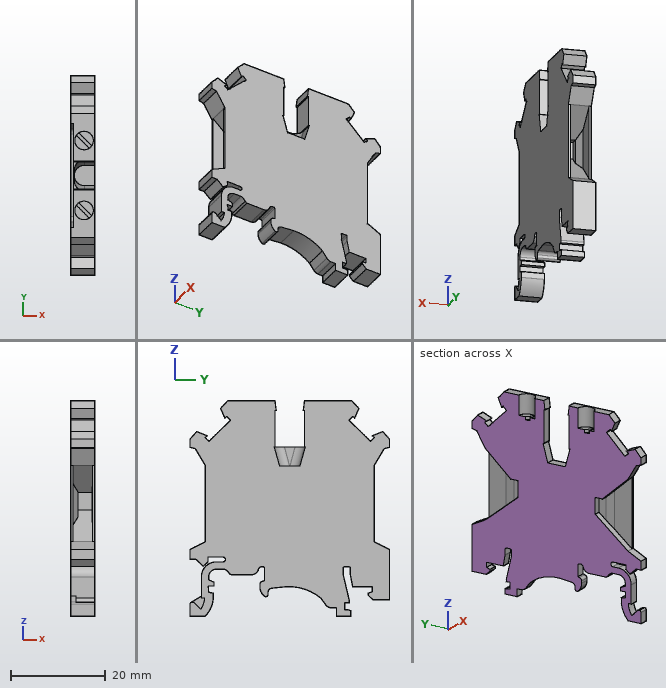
import cadquery as cq
import math

THICKNESS = 5.15
HEIGHT = 45.9
HALF_WIDTH = 21.25
BODY_HALF_WIDTH = 18.0

BODY_BOTTOM_Z = 15.9
BODY_TOP_Z = 32.15
SHOULDER_Z = 14.25

GAP_HALF_WIDTH = 3.1
GAP_FLOOR_Z = 36.1
LIP_HALF_GAP = 2.85
LIP_BOTTOM_Z = 43.75

HOOK_BEND_Y = -15.6
HOOK_BEND_Z = 8.4
HOOK_OUTER_RADIUS = 3.2
HOOK_INNER_RADIUS = 1.6
HOOK_LEG_Y = HOOK_BEND_Y - HOOK_OUTER_RADIUS
HOOK_INNER_Y = HOOK_BEND_Y - HOOK_INNER_RADIUS

HOOK_SLIT_END_Y = -14.2
HOOK_SLIT_BOTTOM_Z = HOOK_BEND_Z + HOOK_OUTER_RADIUS
HOOK_SLIT_TOP_Z = 12.58
GRIP_SLIT_TOP_Z = 10.5
GRIP_VALLEY_Z = 8.8
SLIT_CORNER_RADIUS = 0.25
SLIT_CORNER_SETBACK = SLIT_CORNER_RADIUS * (1 - math.sqrt(0.5))
FIXED_SLIT_OUTER_Y = 12.85
FIXED_SLIT_INNER_Y = 11.4
HOOKED_SLIT_Y = -5.4
HOOKED_GRIP_Y = -6.4

FIXED_FOOT_Z = 3.55
FIXED_CATCH_Y = 16.65
FIXED_RAIL_SEAT_Y = 17.55
FIXED_RAIL_SEAT_Z = 6.3
NOTCHED_GRIP_TIP_Y = 13.0
NOTCHED_GRIP_HEEL_Y = 9.9
NOTCHED_GRIP_HEEL_Z = 1.8
HOOK_CATCH_Y = -16.05
HOOK_CATCH_Z = 6.43
SHOULDER_STOP_Y = -17.35
SHOULDER_STOP_Z = 12.1

RECESS_DEPTH = 0.55
RECESS_HALF_WIDTH = 11.1
RECESS_TAPER_Z = 34.0
RECESS_FLOOR_HALF_WIDTH = 9.65
RECESS_FLOOR_Z = 28.83
RECESS_CORNER_RADIUS = 1.15

SCREW_HOLE_DIAMETER = 3.95
SCREW_HOLE_DEPTH = 4.6
SCREW_HOLE_X = 2.85
SCREW_HOLE_Y = 7.45
DRIVER_SLOT_WIDTH = 0.75
DRIVER_SLOT_DEPTH = 0.7
DRIVER_SLOT_ANGLE = -45.0

WELL_RADIUS = 2.15
WELL_CENTER_X = 2.95
WELL_DEPTH = 4.15
WELL_END_SHIFT = 1.15
WELL_MIN_FLAT = 0.025

FUNNEL_X_MIN = 0.5
FUNNEL_X_MAX = 4.65
FUNNEL_THROAT_X_MIN = 1.6
FUNNEL_THROAT_X_MAX = 4.5
FUNNEL_TAPER_START = 4.35
FUNNEL_TAPER_END = 6.45
FUNNEL_DEPTH = 8.2
FUNNEL_BACK_BOTTOM_Z = 22.65
FUNNEL_BACK_TOP_Z = 26.35

GROOVE_RIB_WIDTH = 1.15
GROOVE_TOP_Z = 3.95
GROOVE_BACK_Y = -18.1
GROOVE_BACK_MID = (-18.25, 2.95)
GROOVE_BACK_END = (-18.9, 1.5)
GROOVE_LIP = (-20.4, 2.95)
TOE_SLOPE_TOP_Z = 4.3
TOE_SLOPE_END = (-20.95, 3.05)
TOE_ROUND_MID = (-21.15, 2.85)
TOE_FACE_Z = 2.6

UPPER_SIDE = [
    (GAP_HALF_WIDTH, GAP_FLOOR_Z),
    (GAP_HALF_WIDTH, LIP_BOTTOM_Z),
    (LIP_HALF_GAP, LIP_BOTTOM_Z),
    (GAP_HALF_WIDTH, HEIGHT),
    (13.17, HEIGHT),
    (14.75, 44.25),
    (13.8, 42.15),
    (13.45, 42.5),
    (12.6, 41.72),
    (17.15, 37.25),
    (18.0, 38.0),
    (17.5, 38.4),
    (19.8, 39.35),
    (HALF_WIDTH, 37.7),
    (HALF_WIDTH, 35.95),
    (20.1, 35.65),
    (BODY_HALF_WIDTH, BODY_TOP_Z),
    (BODY_HALF_WIDTH, BODY_BOTTOM_Z),
    (HALF_WIDTH, SHOULDER_Z),
]


def lines(wire, points):
    """Extend a wire through a run of straight segments."""
    for point in points:
        wire = wire.lineTo(*point)
    return wire


def bend_point(radius):
    """Point half way round a hook bend."""
    offset = radius * math.sqrt(0.5)
    return (HOOK_BEND_Y - offset, HOOK_BEND_Z + offset)


def round_slit_corner(wire, wall_y):
    """Rise up the +Y wall of a grip slit and round into its roof."""
    radius = SLIT_CORNER_RADIUS
    wire = wire.lineTo(wall_y, GRIP_SLIT_TOP_Z - radius)
    middle = (wall_y - SLIT_CORNER_SETBACK, GRIP_SLIT_TOP_Z - SLIT_CORNER_SETBACK)
    return wire.threePointArc(middle, (wall_y - radius, GRIP_SLIT_TOP_Z))


def add_fixed_foot(wire):
    """+Y foot with its rail catch, up to the slit beside the first grip."""
    wire = lines(wire, [(HALF_WIDTH, FIXED_FOOT_Z), (17.65, FIXED_FOOT_Z)])
    wire = lines(wire, [(FIXED_CATCH_Y, 4.5), (FIXED_CATCH_Y, 4.95), (FIXED_RAIL_SEAT_Y, 5.25)])
    wire = lines(wire, [(FIXED_RAIL_SEAT_Y, FIXED_RAIL_SEAT_Z), (13.35, FIXED_RAIL_SEAT_Z)])
    wire = wire.lineTo(FIXED_SLIT_OUTER_Y, 8.95)
    wire = round_slit_corner(wire, FIXED_SLIT_OUTER_Y)
    wire = wire.lineTo(FIXED_SLIT_INNER_Y + SLIT_CORNER_RADIUS, GRIP_SLIT_TOP_Z)
    return wire.threePointArc(
        (FIXED_SLIT_INNER_Y + SLIT_CORNER_SETBACK, GRIP_SLIT_TOP_Z - SLIT_CORNER_SETBACK),
        (FIXED_SLIT_INNER_Y, GRIP_SLIT_TOP_Z - SLIT_CORNER_RADIUS),
    )


def add_notched_grip(wire):
    """Springy grip beside the fixed foot, with a notch above its tip."""
    wire = lines(wire, [(FIXED_SLIT_INNER_Y, 8.95), (12.65, 3.45), (12.65, 2.9), (11.7, 2.9)])
    wire = lines(wire, [(11.7, 1.4), (12.45, 1.4), (NOTCHED_GRIP_TIP_Y, 1.25), (NOTCHED_GRIP_TIP_Y, 0.0)])
    wire = lines(wire, [(NOTCHED_GRIP_HEEL_Y, 0.0), (NOTCHED_GRIP_HEEL_Y, NOTCHED_GRIP_HEEL_Z)])
    wire = wire.lineTo(8.7, NOTCHED_GRIP_HEEL_Z)
    return wire.threePointArc((8.15, 1.97), (7.7, 2.35))


def add_arch_and_hooked_grip(wire):
    """Arched underside, the hooked grip at its end and the slit and valley after it."""
    wire = wire.lineTo(6.6, 3.85)
    wire = wire.threePointArc((3.2, 5.75), (-0.65, 6.3))
    wire = wire.lineTo(-3.8, 5.95)
    wire = wire.threePointArc((-4.35, 5.7), (-4.6, 5.25))
    wire = wire.lineTo(-4.6, 4.6)
    wire = wire.threePointArc((-4.85, 4.2), (-5.32, 4.2))
    wire = wire.threePointArc((-6.1, 5.15), (HOOKED_GRIP_Y, 6.35))
    wire = wire.lineTo(HOOKED_GRIP_Y, 6.9)
    wire = wire.threePointArc((-6.2, 7.25), (-5.8, 7.5))
    wire = wire.lineTo(HOOKED_SLIT_Y, 7.6)
    wire = round_slit_corner(wire, HOOKED_SLIT_Y)
    wire = wire.lineTo(-6.15, GRIP_SLIT_TOP_Z)
    wire = wire.threePointArc((-6.5, 10.3), (-6.65, 9.85))
    return wire.threePointArc((-7.25, 9.15), (-8.12, GRIP_VALLEY_Z))


def add_hook(wire):
    """Flexible hook: inner bend, catches, toe, then back up the outer bend."""
    wire = lines(wire, [(-12.45, GRIP_VALLEY_Z), (-12.9, 9.1)])
    wire = wire.threePointArc((-13.3, 9.7), (-13.95, HOOK_BEND_Z + HOOK_INNER_RADIUS))
    wire = wire.lineTo(HOOK_BEND_Y, HOOK_BEND_Z + HOOK_INNER_RADIUS)
    wire = wire.threePointArc(bend_point(HOOK_INNER_RADIUS), (HOOK_INNER_Y, HOOK_BEND_Z))
    wire = lines(wire, [(HOOK_INNER_Y, 7.8), (HOOK_CATCH_Y, 7.25), (HOOK_CATCH_Y, HOOK_CATCH_Z)])
    wire = lines(wire, [(-17.3, HOOK_CATCH_Z), (HOOK_INNER_Y, 5.15), (-16.25, 4.95), (-16.25, 3.63)])
    wire = wire.threePointArc((-16.8, 1.7), (-18.0, 0.0))
    wire = lines(wire, [(-HALF_WIDTH, 0.0), (-HALF_WIDTH, TOE_FACE_Z)])
    wire = wire.threePointArc(TOE_ROUND_MID, TOE_SLOPE_END)
    wire = lines(wire, [(HOOK_LEG_Y, TOE_SLOPE_TOP_Z), (HOOK_LEG_Y, HOOK_BEND_Z)])
    return wire.threePointArc(bend_point(HOOK_OUTER_RADIUS), (HOOK_BEND_Y, HOOK_SLIT_BOTTOM_Z))


def add_hook_slit(wire):
    """Slit above the hook with a round end, and the stop under the -Y shoulder."""
    slit_radius = (HOOK_SLIT_TOP_Z - HOOK_SLIT_BOTTOM_Z) / 2
    slit_end = (HOOK_SLIT_END_Y + slit_radius, HOOK_SLIT_TOP_Z - slit_radius)
    wire = wire.lineTo(HOOK_SLIT_END_Y, HOOK_SLIT_BOTTOM_Z)
    wire = wire.threePointArc(slit_end, (HOOK_SLIT_END_Y, HOOK_SLIT_TOP_Z))
    wire = lines(wire, [(SHOULDER_STOP_Y, HOOK_SLIT_TOP_Z), (SHOULDER_STOP_Y, 11.6), (-18.4, 10.65)])
    return lines(wire, [(-19.95, SHOULDER_STOP_Z), (-HALF_WIDTH, SHOULDER_STOP_Z)])


def make_plate():
    """Full outline of the block, extruded through its thickness."""
    wire = cq.Workplane("YZ").moveTo(*UPPER_SIDE[0])
    wire = lines(wire, UPPER_SIDE[1:])
    wire = add_fixed_foot(wire)
    wire = add_notched_grip(wire)
    wire = add_arch_and_hooked_grip(wire)
    wire = add_hook(wire)
    wire = add_hook_slit(wire)
    wire = lines(wire, [(-y, z) for y, z in reversed(UPPER_SIDE)])
    return wire.close().extrude(THICKNESS)


def make_label_recess():
    """Shallow tapered recess on the -X face with rounded lower corners."""
    outline = [
        (RECESS_HALF_WIDTH, HEIGHT),
        (RECESS_HALF_WIDTH, RECESS_TAPER_Z),
        (RECESS_FLOOR_HALF_WIDTH, RECESS_FLOOR_Z),
        (-RECESS_FLOOR_HALF_WIDTH, RECESS_FLOOR_Z),
        (-RECESS_HALF_WIDTH, RECESS_TAPER_Z),
        (-RECESS_HALF_WIDTH, HEIGHT),
    ]
    recess = cq.Workplane("YZ").polyline(outline).close().extrude(RECESS_DEPTH)
    lowest_edges = recess.faces("<Z").edges("|X")
    return lowest_edges.fillet(RECESS_CORNER_RADIUS)


def make_screw_hole(y):
    """Blind hole from the post top, with a driver slot sunk in its floor."""
    floor_z = HEIGHT - SCREW_HOLE_DEPTH
    floor = cq.Workplane("XY", origin=(SCREW_HOLE_X, y, floor_z))
    hole = floor.circle(SCREW_HOLE_DIAMETER / 2).extrude(SCREW_HOLE_DEPTH)
    slot = floor.rect(SCREW_HOLE_DIAMETER, DRIVER_SLOT_WIDTH).extrude(-DRIVER_SLOT_DEPTH)
    slot = slot.rotate((SCREW_HOLE_X, y, 0), (SCREW_HOLE_X, y, 1), DRIVER_SLOT_ANGLE)
    limit = floor.circle(SCREW_HOLE_DIAMETER / 2).extrude(-DRIVER_SLOT_DEPTH)
    return hole.union(slot.intersect(limit))


def draw_well_section(plane, end_shift):
    """U section of the well: two round corners, straight bottom, open at +X."""
    half_width = WELL_RADIUS + end_shift
    bottom_x = WELL_CENTER_X - WELL_RADIUS
    corner = WELL_RADIUS * math.sqrt(0.5)
    flat = max(end_shift, WELL_MIN_FLAT)
    return (
        plane.moveTo(THICKNESS, half_width)
        .lineTo(WELL_CENTER_X, half_width)
        .threePointArc((WELL_CENTER_X - corner, end_shift + corner), (bottom_x, flat))
        .lineTo(bottom_x, -flat)
        .threePointArc((WELL_CENTER_X - corner, -end_shift - corner), (WELL_CENTER_X, -half_width))
        .lineTo(THICKNESS, -half_width)
        .close()
    )


def make_well():
    """Well below the gap floor, wide at its top and narrow at its floor."""
    section = draw_well_section(cq.Workplane("XY", origin=(0, 0, GAP_FLOOR_Z - WELL_DEPTH)), 0.0)
    section = draw_well_section(section.workplane(offset=WELL_DEPTH), WELL_END_SHIFT)
    return section.loft(ruled=True)


def make_funnel(side):
    """Wire entry funnel; side is +1 or -1 for the end of the body it opens to."""
    mouth = side * BODY_HALF_WIDTH
    taper_start = side * (BODY_HALF_WIDTH - FUNNEL_TAPER_START)
    taper_end = side * (BODY_HALF_WIDTH - FUNNEL_TAPER_END)
    back = side * (BODY_HALF_WIDTH - FUNNEL_DEPTH)
    side_outline = [
        (mouth, BODY_BOTTOM_Z),
        (back, FUNNEL_BACK_BOTTOM_Z),
        (back, FUNNEL_BACK_TOP_Z),
        (taper_end, FUNNEL_BACK_TOP_Z),
        (mouth, BODY_TOP_Z),
    ]
    plan_outline = [
        (FUNNEL_X_MIN, mouth),
        (FUNNEL_X_MIN, taper_start),
        (FUNNEL_THROAT_X_MIN, taper_end),
        (FUNNEL_THROAT_X_MIN, back),
        (FUNNEL_THROAT_X_MAX, back),
        (FUNNEL_THROAT_X_MAX, taper_end),
        (FUNNEL_X_MAX, taper_start),
        (FUNNEL_X_MAX, mouth),
    ]
    side_prism = cq.Workplane("YZ").polyline(side_outline).close().extrude(THICKNESS)
    plan_prism = cq.Workplane("XY").polyline(plan_outline).close().extrude(HEIGHT)
    return side_prism.intersect(plan_prism)


def make_toe_groove():
    """Undercut groove across the toe, from the rib out through +X."""
    groove = cq.Workplane("YZ", origin=(GROOVE_RIB_WIDTH, 0, 0)).moveTo(HOOK_LEG_Y, TOE_SLOPE_TOP_Z)
    groove = lines(groove, [(HOOK_LEG_Y, GROOVE_TOP_Z), (GROOVE_BACK_Y, GROOVE_TOP_Z)])
    groove = groove.threePointArc(GROOVE_BACK_MID, GROOVE_BACK_END)
    groove = lines(groove, [GROOVE_LIP, TOE_SLOPE_END, (TOE_SLOPE_END[0], TOE_SLOPE_TOP_Z)])
    return groove.close().extrude(THICKNESS - GROOVE_RIB_WIDTH)


result = make_plate().cut(make_label_recess()).cut(make_well()).cut(make_toe_groove())
for end in (1, -1):
    result = result.cut(make_screw_hole(end * SCREW_HOLE_Y))
    result = result.cut(make_funnel(end))